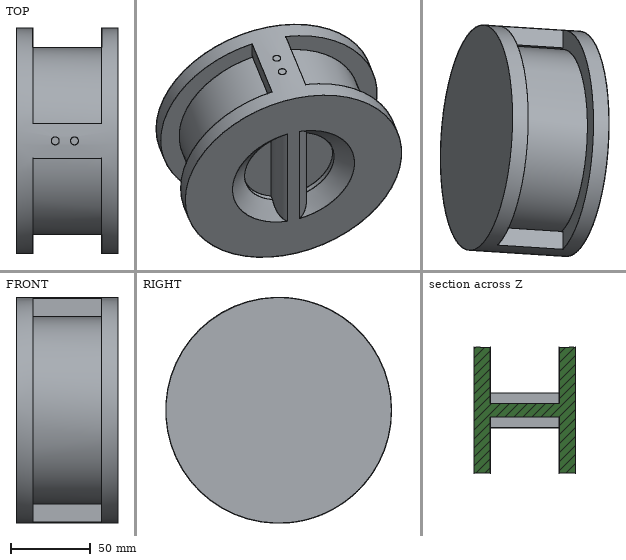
import cadquery as cq
import math

outer_diameter = 142.0
body_length = 64.0
inlet_x = -body_length / 2

flange_thickness = 10.4
waist_length = body_length - 2 * flange_thickness
waist_diameter = 117.9

web_width = 22.0
web_overlap = 0.1
web_inner_z = waist_diameter / 2 - web_overlap

mouth_diameter = 80.1
throat_diameter = 58.6
entry_depth = 9.1
floor_depth = 12.4
entry_x = inlet_x + entry_depth
floor_x = inlet_x + floor_depth

bar_face_width = 7.8
bar_width = 22.2
bar_side_bulge = 1.8

pin_diameter = 5.0
pin_recess = 0.1
pin_positions = (-7.5, 4.5)


def make_body():
    """Two flanges on a round waist, bridged above and below it by flat-bottomed webs."""
    drum = cq.Workplane("YZ").circle(outer_diameter / 2).extrude(body_length / 2, both=True)
    waist_space = (
        cq.Workplane("YZ")
        .circle(outer_diameter)
        .circle(waist_diameter / 2)
        .extrude(waist_length / 2, both=True)
    )
    for side in (1, -1):
        web_centre_z = side * (web_inner_z + outer_diameter / 2)
        web = cq.Workplane("XY").box(body_length, web_width, outer_diameter)
        waist_space = waist_space.cut(web.translate((0, 0, web_centre_z)))
    return drum.cut(waist_space)


def make_inlet():
    """Conical entry followed by the straight throat."""
    return (
        cq.Workplane("XY")
        .moveTo(inlet_x, 0)
        .lineTo(inlet_x, mouth_diameter / 2)
        .lineTo(entry_x, throat_diameter / 2)
        .lineTo(floor_x, throat_diameter / 2)
        .lineTo(floor_x, 0)
        .close()
        .revolve(360, (0, 0, 0), (1, 0, 0))
    )


def make_bar():
    """Vertical bar whose sides round outwards from its flat face."""
    face_y = bar_face_width / 2
    side_y = bar_width / 2
    run = side_y - face_y
    chord = math.hypot(entry_depth, run)
    arc_middle = (
        (inlet_x + entry_x) / 2 - run / chord * bar_side_bulge,
        (face_y + side_y) / 2 + entry_depth / chord * bar_side_bulge,
    )
    half = (
        cq.Workplane("XY")
        .moveTo(inlet_x, 0)
        .lineTo(inlet_x, face_y)
        .threePointArc(arc_middle, (entry_x, side_y))
        .lineTo(floor_x, side_y)
        .lineTo(floor_x, 0)
        .close()
        .extrude(mouth_diameter / 2, both=True)
    )
    return half.union(half.mirror("XZ"))


def make_pin_recesses():
    """Shallow round recesses that end at the flat pin ends."""
    return (
        cq.Workplane("XY")
        .workplane(offset=outer_diameter / 2 - pin_recess)
        .pushPoints([(x, 0) for x in pin_positions])
        .circle(pin_diameter / 2)
        .extrude(2 * pin_recess)
    )


result = make_body().cut(make_inlet().cut(make_bar())).cut(make_pin_recesses())